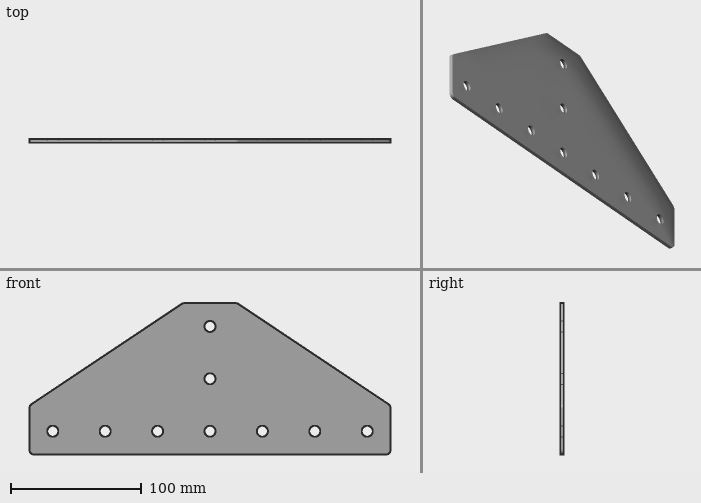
import cadquery as cq

pitch = 40.0
edge_margin = 18.0
row_count = 7
column_count = 3
hole_diameter = 8.3
thickness = 3.0
length = (row_count - 1) * pitch + 2 * edge_margin
height = (column_count - 1) * pitch + 2 * edge_margin

top_width = 41.0
shoulder_height = 37.5
corner_radius = 4.0


def make_plate():
    """Flat plate, centred on X and Y, standing on Z = 0, with rounded corners."""
    outline = [
        (-length / 2, 0),
        (length / 2, 0),
        (length / 2, shoulder_height),
        (top_width / 2, height),
        (-top_width / 2, height),
        (-length / 2, shoulder_height),
    ]
    plate = cq.Workplane("XZ").polyline(outline).close().extrude(thickness / 2, both=True)
    return plate.edges("|Y").fillet(corner_radius)


def make_holes():
    """Through holes: a row along the bottom and a column up the middle."""
    row_start = -length / 2 + edge_margin
    row = [(row_start + i * pitch, edge_margin) for i in range(row_count)]
    column = [(0, edge_margin + i * pitch) for i in range(1, column_count)]
    return (
        cq.Workplane("XZ")
        .pushPoints(row + column)
        .circle(hole_diameter / 2)
        .extrude(thickness, both=True)
    )


result = make_plate().cut(make_holes())